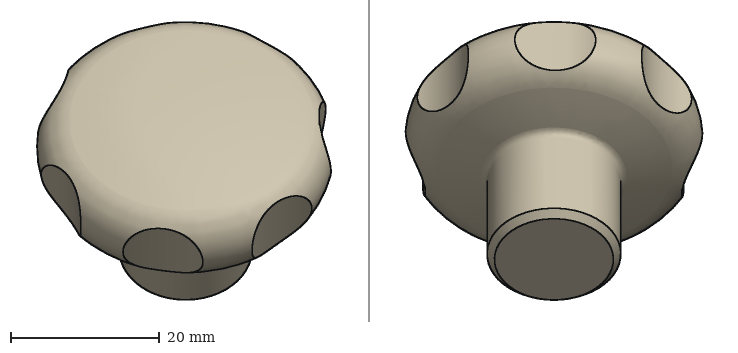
import cadquery as cq
import math

RIM_RADIUS = 20.0
RIM_TUBE_RADIUS = 6.0
RIM_CENTRE_RADIUS = RIM_RADIUS - RIM_TUBE_RADIUS
CROWN_SPHERE_RADIUS = 57.0
UNDERSIDE_SPHERE_RADIUS = 50.0
OVERALL_HEIGHT = 30.41

STEM_RADIUS = 9.0
STEM_CHAMFER = 1.0
STEM_FILLET = 1.0

SCALLOP_COUNT = 7
SCALLOP_RADIUS = 12.5
SCALLOP_FLOOR_RADIUS = 18.0
FIRST_SCALLOP_ANGLE = -90.0


def crown_rise(sphere_radius):
    """Distance from the rim plane to the peak of a sphere, centred on the axis, that hugs the rim tube."""
    centre_drop = math.sqrt((sphere_radius - RIM_TUBE_RADIUS) ** 2 - RIM_CENTRE_RADIUS**2)
    return sphere_radius - centre_drop


RIM_PLANE_Z = OVERALL_HEIGHT - crown_rise(CROWN_SPHERE_RADIUS)


def crown_points(sphere_radius, side):
    """Rim joint, midpoint and peak of a crown arc; side is +1 above the rim plane, -1 below it."""
    joint_angle = math.asin(RIM_CENTRE_RADIUS / (sphere_radius - RIM_TUBE_RADIUS))

    def on_sphere(angle):
        height = crown_rise(sphere_radius) - sphere_radius * (1 - math.cos(angle))
        return (sphere_radius * math.sin(angle), RIM_PLANE_Z + side * height)

    return on_sphere(joint_angle), on_sphere(joint_angle / 2), on_sphere(0)


def make_head():
    top_joint, top_middle, top_peak = crown_points(CROWN_SPHERE_RADIUS, 1)
    bottom_joint, bottom_middle, bottom_peak = crown_points(UNDERSIDE_SPHERE_RADIUS, -1)
    profile = (
        cq.Workplane("XZ")
        .moveTo(*bottom_peak)
        .threePointArc(bottom_middle, bottom_joint)
        .threePointArc((RIM_RADIUS, RIM_PLANE_Z), top_joint)
        .threePointArc(top_middle, top_peak)
        .close()
    )
    return profile.revolve(360, (0, 0), (0, 1))


def make_stem():
    stem = cq.Workplane("XY").circle(STEM_RADIUS).extrude(RIM_PLANE_Z)
    return stem.faces("<Z").edges().chamfer(STEM_CHAMFER)


def fillet_stem_root(knob):
    """Round the inside corner where the stem meets the underside of the head."""
    margin = 0.5
    half_width = STEM_RADIUS + margin
    corner_zone = cq.selectors.BoxSelector(
        (-half_width, -half_width, STEM_CHAMFER + margin),
        (half_width, half_width, RIM_PLANE_Z),
        boundingbox=True,
    )
    return knob.edges(corner_zone).fillet(STEM_FILLET)


def make_scallops():
    return (
        cq.Workplane("XY")
        .polarArray(SCALLOP_FLOOR_RADIUS + SCALLOP_RADIUS, FIRST_SCALLOP_ANGLE, 360, SCALLOP_COUNT)
        .circle(SCALLOP_RADIUS)
        .extrude(OVERALL_HEIGHT)
    )


knob = fillet_stem_root(make_stem().union(make_head()))
result = knob.cut(make_scallops())